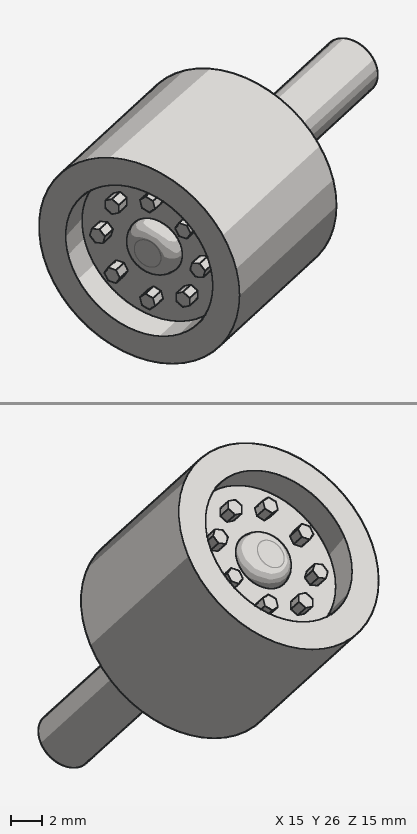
import cadquery as cq

total_length = 26.0
body_diameter = 15.0
body_length = 11.9
shaft_diameter = 4.0

recess_diameter = 11.0
recess_depth = 2.0

button_diameter = shaft_diameter
button_height = button_diameter / 4
button_flat_diameter = button_diameter / 2

pin_count = 8
pin_corner_diameter = 1.17
pin_height = 1.0
pin_ring_radius = 3.75
pin_turn = 15.0


def make_turned_body():
    """Revolve body, shaft, recess and button from one half profile (radius, Y)."""
    body_radius = body_diameter / 2
    shaft_radius = shaft_diameter / 2
    recess_radius = recess_diameter / 2
    button_radius = button_diameter / 2
    flat_radius = button_flat_diameter / 2
    button_top = recess_depth - button_height
    round_radius = button_radius - flat_radius
    return (
        cq.Workplane("XY")
        .moveTo(0, total_length)
        .lineTo(shaft_radius, total_length)
        .lineTo(shaft_radius, body_length)
        .lineTo(body_radius, body_length)
        .lineTo(body_radius, 0)
        .lineTo(recess_radius, 0)
        .lineTo(recess_radius, recess_depth)
        .lineTo(button_radius, recess_depth)
        .radiusArc((flat_radius, button_top), round_radius)
        .lineTo(0, button_top)
        .close()
        .revolve(360, (0, 0, 0), (0, 1, 0))
    )


def make_pin(ring_angle):
    """Hexagonal pin standing on the recess floor, turned with its place on the ring."""
    axis_start = (0, 0, 0)
    axis_end = (0, 1, 0)
    return (
        cq.Workplane("XZ", origin=(0, recess_depth, 0))
        .polygon(6, pin_corner_diameter)
        .extrude(pin_height)
        .rotate(axis_start, axis_end, -pin_turn)
        .translate((pin_ring_radius, 0, 0))
        .rotate(axis_start, axis_end, ring_angle)
    )


result = make_turned_body()
for index in range(pin_count):
    result = result.union(make_pin(index * 360 / pin_count))